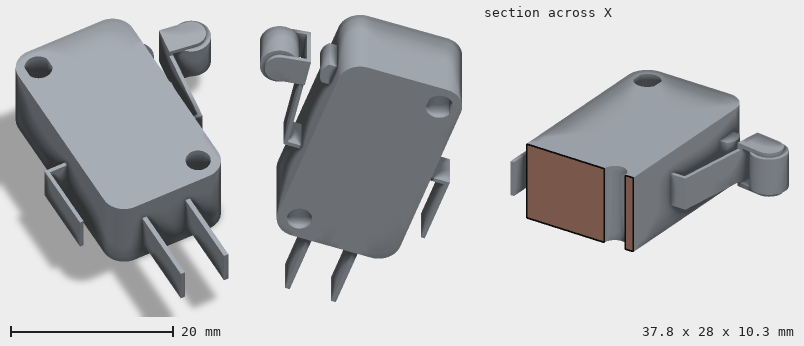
import cadquery as cq
import math

HOUSING_LENGTH = 27.8
HOUSING_WIDTH = 15.9
HOUSING_HEIGHT = 10.3
CORNER_RADIUS = 2.8

HOLE_DIAMETER = 3.1
WIDE_HOLE_DIAMETER = 3.45

TERMINAL_LENGTH = 10.0
TERMINAL_WIDTH = 4.75
TERMINAL_THICKNESS = 0.6
TERMINAL_CENTRES_Y = (4.12, 10.13)

COMMON_START_X = 14.95
COMMON_LENGTH = 9.22
COMMON_DROP = 2.9
COMMON_WIDTH = 4.7
COMMON_THICKNESS = 0.5
COMMON_CENTRE_Z = -0.85

PLUNGER_CENTRE_X = 4.8
PLUNGER_LENGTH = 2.87
PLUNGER_SIDE_HEIGHT = 1.02
PLUNGER_PEAK_HEIGHT = 1.6

ROLLER_X = 5.4
ROLLER_RADIUS = 2.42
ROLLER_TOP_Y = 25.1
ROLLER_Y = ROLLER_TOP_Y - ROLLER_RADIUS
ROLLER_WIDTH = 4.88
LEVER_ANGLE = 7.5
LEVER_WIDTH = 4.3
LEVER_THICKNESS = 0.5
LEVER_BEND_X = 16.9
FORK_RADIUS = 1.8
FORK_BASE_DISTANCE = 3.55
FORK_WALL = 0.55
FORK_WIDTH = ROLLER_WIDTH + 2 * FORK_WALL


def extrude_centred(outline, width, centre_z=0):
    """Extrude a closed XY outline so that the body is centred on centre_z."""
    return outline.extrude(width).translate((0, 0, centre_z - width / 2))


def make_housing():
    block = cq.Workplane("XY").box(
        HOUSING_LENGTH, HOUSING_WIDTH, HOUSING_HEIGHT, centered=(False, False, True)
    )
    block = block.edges("|Z").fillet(CORNER_RADIUS)

    round_hole = extrude_centred(
        cq.Workplane("XY")
        .center(HOUSING_LENGTH - CORNER_RADIUS, HOUSING_WIDTH - CORNER_RADIUS)
        .circle(HOLE_DIAMETER / 2),
        HOUSING_HEIGHT,
    )
    wide_hole = extrude_centred(
        cq.Workplane("XY").center(CORNER_RADIUS, CORNER_RADIUS).circle(WIDE_HOLE_DIAMETER / 2),
        HOUSING_HEIGHT,
    )
    flats = (
        cq.Workplane("XY")
        .box(WIDE_HOLE_DIAMETER, HOLE_DIAMETER, HOUSING_HEIGHT)
        .translate((CORNER_RADIUS, CORNER_RADIUS, 0))
    )
    return block.cut(round_hole).cut(wide_hole.intersect(flats))


def make_blade_terminal(centre_y):
    return (
        cq.Workplane("XY")
        .box(TERMINAL_LENGTH, TERMINAL_THICKNESS, TERMINAL_WIDTH, centered=(False, True, True))
        .translate((HOUSING_LENGTH, centre_y, 0))
    )


def make_common_terminal():
    end_x = COMMON_START_X + COMMON_LENGTH
    inner_x = COMMON_START_X + COMMON_THICKNESS
    inner_y = COMMON_THICKNESS - COMMON_DROP
    outline = (
        cq.Workplane("XY")
        .moveTo(COMMON_START_X, 0)
        .lineTo(COMMON_START_X, -COMMON_DROP)
        .lineTo(end_x, -COMMON_DROP)
        .lineTo(end_x, inner_y)
        .lineTo(inner_x, inner_y)
        .lineTo(inner_x, 0)
        .close()
    )
    return extrude_centred(outline, COMMON_WIDTH, COMMON_CENTRE_Z)


def make_plunger():
    left_x = PLUNGER_CENTRE_X - PLUNGER_LENGTH / 2
    right_x = PLUNGER_CENTRE_X + PLUNGER_LENGTH / 2
    side_y = HOUSING_WIDTH + PLUNGER_SIDE_HEIGHT
    peak_y = HOUSING_WIDTH + PLUNGER_PEAK_HEIGHT
    outline = (
        cq.Workplane("XY")
        .moveTo(left_x, HOUSING_WIDTH)
        .lineTo(left_x, side_y)
        .threePointArc((PLUNGER_CENTRE_X, peak_y), (right_x, side_y))
        .lineTo(right_x, HOUSING_WIDTH)
        .close()
    )
    return extrude_centred(outline, LEVER_WIDTH)


def make_lever_arm():
    """Post rising from the housing and the sloping strip that runs to the fork."""
    angle = math.radians(LEVER_ANGLE)

    def underside_y(x):
        base_y = ROLLER_Y - FORK_BASE_DISTANCE / math.cos(angle)
        return base_y - (x - ROLLER_X) * math.tan(angle)

    rise = LEVER_THICKNESS / math.cos(angle)
    post_inner_x = LEVER_BEND_X - LEVER_THICKNESS
    outline = (
        cq.Workplane("XY")
        .moveTo(LEVER_BEND_X, HOUSING_WIDTH)
        .lineTo(LEVER_BEND_X, underside_y(LEVER_BEND_X) + rise)
        .lineTo(ROLLER_X, underside_y(ROLLER_X) + rise)
        .lineTo(ROLLER_X, underside_y(ROLLER_X))
        .lineTo(post_inner_x, underside_y(post_inner_x))
        .lineTo(post_inner_x, HOUSING_WIDTH)
        .close()
    )
    return extrude_centred(outline, LEVER_WIDTH)


def make_fork():
    """Two round-ended cheeks joined by a web, tilted with the lever."""
    outline = (
        cq.Workplane("XY")
        .moveTo(-FORK_RADIUS, -FORK_BASE_DISTANCE)
        .lineTo(-FORK_RADIUS, 0)
        .threePointArc((0, FORK_RADIUS), (FORK_RADIUS, 0))
        .lineTo(FORK_RADIUS, -FORK_BASE_DISTANCE)
        .close()
    )
    roller_space = (
        cq.Workplane("XY")
        .box(2 * FORK_RADIUS, 2 * FORK_BASE_DISTANCE, ROLLER_WIDTH)
        .translate((0, LEVER_THICKNESS, 0))
    )
    fork = extrude_centred(outline, FORK_WIDTH).cut(roller_space)
    return fork.rotate((0, 0, 0), (0, 0, 1), -LEVER_ANGLE).translate((ROLLER_X, ROLLER_Y, 0))


def make_switch():
    """Housing in one piece with its terminals, plunger and lever."""
    switch = make_housing()
    for centre_y in TERMINAL_CENTRES_Y:
        switch = switch.union(make_blade_terminal(centre_y))
    for feature in (make_common_terminal(), make_plunger(), make_lever_arm(), make_fork()):
        switch = switch.union(feature)
    return switch


def make_roller():
    """Plain cylinder that fills the space between the fork cheeks."""
    outline = cq.Workplane("XY").center(ROLLER_X, ROLLER_Y).circle(ROLLER_RADIUS)
    return extrude_centred(outline, ROLLER_WIDTH)


switch = make_switch()
roller = make_roller()
result = cq.Compound.makeCompound([switch.solids().val(), roller.val()])